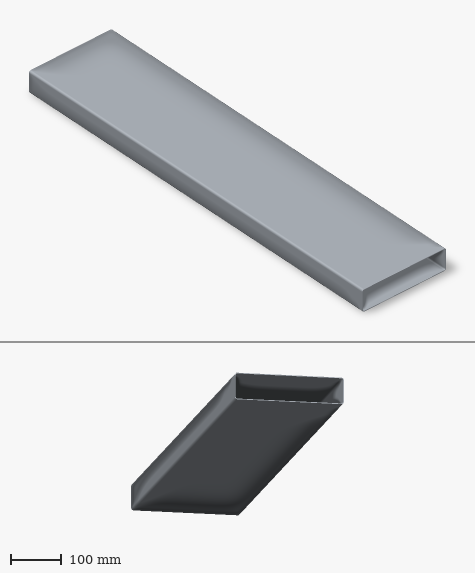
import cadquery as cq

length = 1000.0
width = 220.0
height = 54.0
wall = 1.6
corner_radius = 5.0


def rounded_bar(bar_width, bar_height, edge_radius):
    """Full-length bar with its four long edges rounded."""
    return cq.Workplane("XY").box(length, bar_width, bar_height).edges("|X").fillet(edge_radius)


outer = rounded_bar(width, height, corner_radius)
bore = rounded_bar(width - 2 * wall, height - 2 * wall, corner_radius - wall)

result = outer.cut(bore)